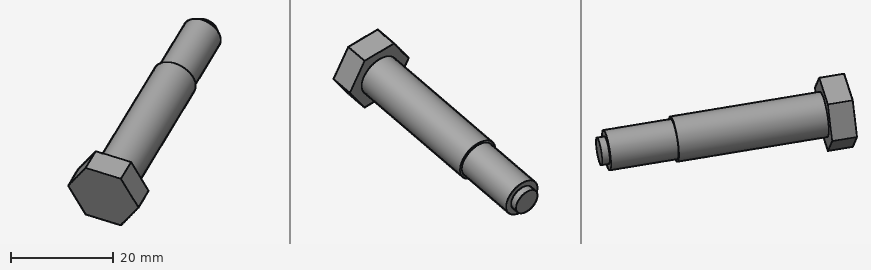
import cadquery as cq
import math

head_sides = 6
head_across_flats = 13.0
head_height = 5.0
shank_diameter = 9.0
shank_length = 30.0
thread_diameter = 8.0
thread_length = 13.5
tip_diameter = 5.5
tip_length = 1.5

head_across_corners = head_across_flats / math.cos(math.pi / head_sides)


def section_plane(y):
    """Plane across the bolt axis at y, with its normal along +Y."""
    return cq.Plane(origin=(0, y, 0), xDir=(1, 0, 0), normal=(0, 1, 0))


def make_head():
    """Hexagonal head with corners on X and flats facing +Z and -Z."""
    outline = cq.Workplane(section_plane(-head_height)).polygon(head_sides, head_across_corners)
    return outline.extrude(head_height)


def add_stepped_shaft(body):
    """Add the fitted shank, plain threaded length and tip, end to end from under the head."""
    steps = [
        (shank_diameter, shank_length),
        (thread_diameter, thread_length),
        (tip_diameter, tip_length),
    ]
    start = 0.0
    for diameter, length in steps:
        step = cq.Workplane(section_plane(start)).circle(diameter / 2).extrude(length)
        body = body.union(step)
        start += length
    return body


result = add_stepped_shaft(make_head())